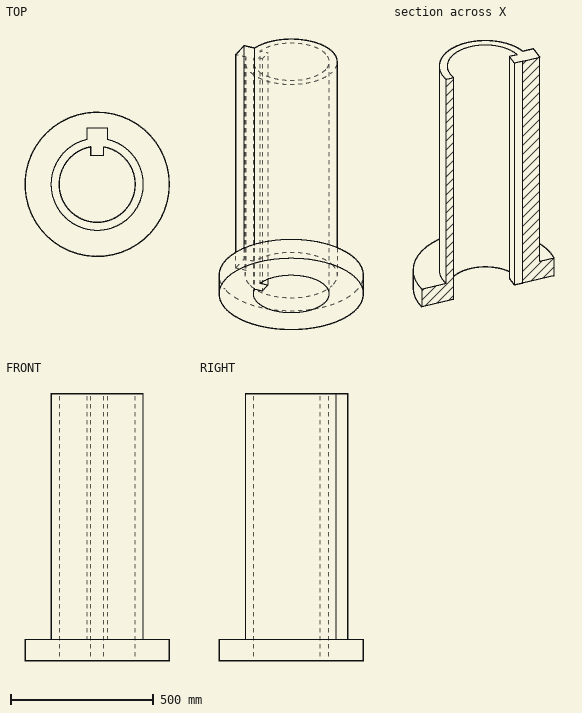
import cadquery as cq

total_height = 939.8
flange_diameter = 508.0
flange_thickness = 76.2

tube_outer_diameter = 323.85
bore_diameter = 266.7

outer_key_width = 70.8
outer_key_reach = 198.7
inner_key_width = 45.7
inner_key_reach = 101.3

key_root = (tube_outer_diameter + bore_diameter) / 4


def cylinder(diameter, height):
    """Upright cylinder on the Z axis, standing on Z = 0."""
    return cq.Workplane("XY").circle(diameter / 2).extrude(height)


def key(width, y_start, y_end):
    """Full-height bar centred on X, between two Y positions."""
    return (
        cq.Workplane("XY")
        .center(0, (y_start + y_end) / 2)
        .rect(width, y_end - y_start)
        .extrude(total_height)
    )


flange = cylinder(flange_diameter, flange_thickness)
tube = cylinder(tube_outer_diameter, total_height)
bore = cylinder(bore_diameter, total_height)
flanged_tube = flange.union(tube).cut(bore)

outer_key = key(outer_key_width, key_root, outer_key_reach)
inner_key = key(inner_key_width, inner_key_reach, key_root)

result = flanged_tube.union(outer_key).union(inner_key)